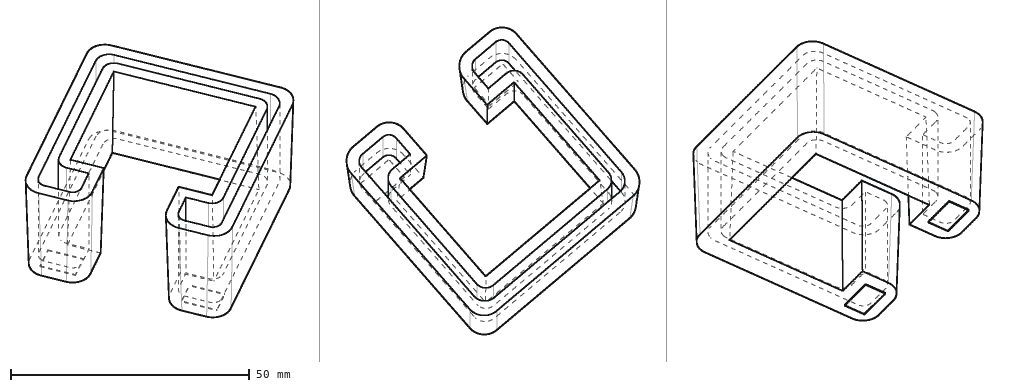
import cadquery as cq

WIDTH = 45.8
LENGTH = 46.3
BODY_HEIGHT = 25.0
BOTTOM_INSET = 0.5
OUTER_RADIUS = 4.05

WALL = 2.5
CHANNEL_WIDTH = 2.15
FLOOR = 2.5
CHANNEL_OUTER_RADIUS = 3.0
POCKET_RADIUS = 2.0
INNER_WALL_RADIUS = 2.5

GAP_WIDTH = 16.6
FOOT_LENGTH = 11.55

PAD_HEIGHT = 0.25
PAD_LENGTH = 5.0
PAD_WIDTH = 7.85
PAD_CENTER_X = 15.75
PAD_CENTER_Y = -17.4

side_thickness = 2 * WALL + CHANNEL_WIDTH
half_width = WIDTH / 2
half_length = LENGTH / 2
half_gap = GAP_WIDTH / 2
cavity_half_width = half_width - side_thickness
cavity_back = half_length - side_thickness
cavity_front = -half_length + FOOT_LENGTH


def outer_profile(inset, z):
    """C outline at height z, with every face moved into the material by inset."""
    x = half_width - inset
    y = half_length - inset
    gap_x = half_gap + inset
    cavity_x = cavity_half_width + inset
    back_y = cavity_back + inset
    front_y = cavity_front - inset
    points = [
        (-x, -y),
        (-x, y),
        (x, y),
        (x, -y),
        (gap_x, -y),
        (gap_x, front_y),
        (cavity_x, front_y),
        (cavity_x, back_y),
        (-cavity_x, back_y),
        (-cavity_x, front_y),
        (-gap_x, front_y),
        (-gap_x, -y),
    ]
    return cq.Workplane("XY").workplane(offset=z).polyline(points).close().wire().val()


def upright_edge(x, y):
    """Selector for the upright edge that ends at (x, y), within the draft of that point."""
    reach = 2 * BOTTOM_INSET
    return cq.selectors.BoxSelector((x - reach, y - reach, 0), (x + reach, y + reach, BODY_HEIGHT))


def make_body():
    """Solid C that narrows slightly toward the bottom, with rounded outer corners."""
    bottom = outer_profile(BOTTOM_INSET, 0)
    top = outer_profile(0, BODY_HEIGHT)
    body = cq.Workplane(cq.Solid.makeLoft([bottom, top], True))
    back_corners = [(-half_width, half_length), (half_width, half_length)]
    foot_corners = [(x, -half_length) for x in (-half_width, -half_gap, half_gap, half_width)]
    for x, y in back_corners + foot_corners:
        body = body.edges(upright_edge(x, y)).fillet(OUTER_RADIUS)
    return body


def channel_block(width, back, front):
    """Block centred on X = 0 that spans the channel depth, from Y = front to Y = back."""
    return (
        cq.Workplane("XY")
        .workplane(offset=FLOOR)
        .center(0, (back + front) / 2)
        .rect(width, back - front)
        .extrude(BODY_HEIGHT - FLOOR)
    )


def make_channel():
    """Blind channel, open at the top, that widens into a pocket in each foot."""
    outer_y = half_length - WALL
    outside = (
        channel_block(WIDTH - 2 * WALL, outer_y, -outer_y)
        .edges("|Z and >Y")
        .fillet(CHANNEL_OUTER_RADIUS)
        .edges("|Z and <Y")
        .fillet(POCKET_RADIUS)
    )
    inner_wall = (
        channel_block(2 * (cavity_half_width + WALL), cavity_back + WALL, cavity_front - WALL)
        .edges("|Z")
        .fillet(INNER_WALL_RADIUS)
    )
    between_pockets = channel_block(GAP_WIDTH + 2 * WALL, cavity_front, -half_length)
    channel = outside.cut(inner_wall).cut(between_pockets)
    for x in (-half_gap - WALL, half_gap + WALL):
        channel = channel.edges(upright_edge(x, -outer_y)).edges("|Z").fillet(POCKET_RADIUS)
    return channel


def make_pads():
    """One flat raised pad under each foot."""
    return (
        cq.Workplane("XY")
        .workplane(offset=-PAD_HEIGHT)
        .pushPoints([(-PAD_CENTER_X, PAD_CENTER_Y), (PAD_CENTER_X, PAD_CENTER_Y)])
        .rect(PAD_WIDTH, PAD_LENGTH)
        .extrude(PAD_HEIGHT)
    )


result = make_body().cut(make_channel()).union(make_pads())